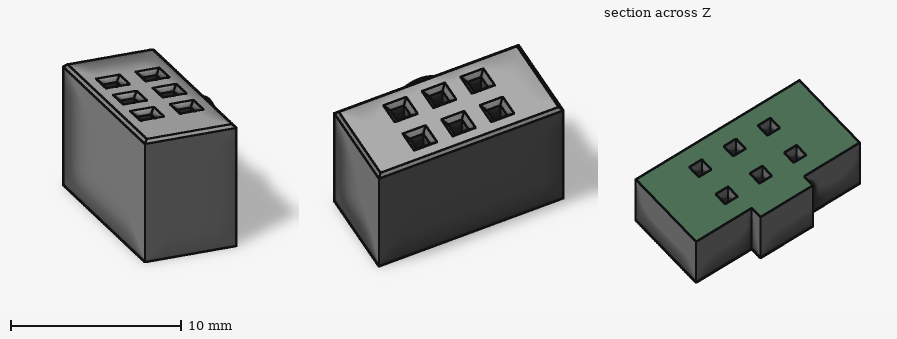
import cadquery as cq

body_length = 12.12
body_width = 5.85
body_height = 7.8
top_chamfer = 0.2

columns = 3
rows = 2
pitch = 2.53
hole_side = 0.9
mouth_side = 1.5
lead_in_depth = (mouth_side - hole_side) / 2

key_width = 3.9
key_height = 6.82
key_thickness = 0.85
key_radius = key_width / 2
key_straight_height = key_height - key_radius


def make_body():
    block = cq.Workplane("XY").box(
        body_length, body_width, body_height, centered=(True, True, False)
    )
    return block.faces(">Z").edges().chamfer(top_chamfer)


def make_key():
    return (
        cq.Workplane("XZ", origin=(0, body_width / 2, 0))
        .moveTo(-key_radius, 0)
        .lineTo(-key_radius, key_straight_height)
        .threePointArc((0, key_height), (key_radius, key_straight_height))
        .lineTo(key_radius, 0)
        .close()
        .extrude(-key_thickness)
    )


def make_hole_cutter(x, y):
    bore = (
        cq.Workplane("XY", origin=(x, y, 0))
        .rect(hole_side, hole_side)
        .extrude(body_height)
    )
    lead_in = (
        cq.Workplane("XY", origin=(x, y, body_height - lead_in_depth))
        .rect(hole_side, hole_side)
        .workplane(offset=lead_in_depth)
        .rect(mouth_side, mouth_side)
        .loft(ruled=True)
    )
    return bore.union(lead_in)


result = make_body().union(make_key())
for column in range(columns):
    for row in range(rows):
        hole_x = (column - (columns - 1) / 2) * pitch
        hole_y = (row - (rows - 1) / 2) * pitch
        result = result.cut(make_hole_cutter(hole_x, hole_y))